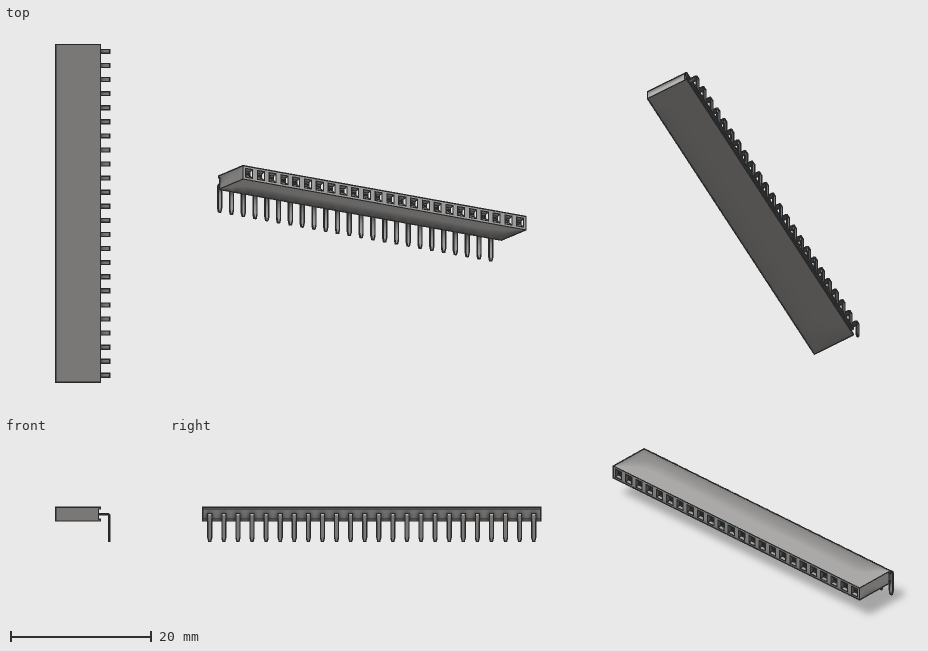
import cadquery as cq


pitch = 2.0
contact_count = 24
housing_length = pitch * contact_count
housing_depth = 6.4
housing_height = 2.0

groove_depth = 0.3
lip_thickness = 0.3

mouth_width = 1.2
mouth_height = 1.3
floor_width = 0.7
floor_height = 0.65
funnel_depth = 0.3
slot_width = 0.45
slot_height = 0.2
slot_depth = 3.0

overall_depth = 7.72
overall_height = 4.9
terminal_width = 0.6
terminal_thickness = 0.2
bend_radius = 0.35
tip_length = 0.6
tip_width = 0.3
terminal_root = 1.0

mid_height = housing_height / 2
tip_z = housing_height - overall_height
contact_positions = [(i - (contact_count - 1) / 2) * pitch for i in range(contact_count)]


def make_housing():
    """Plain block with the rear groove running its full length."""
    block = cq.Workplane("XY").box(
        housing_depth, housing_length, housing_height, centered=(False, True, False)
    )
    groove = cq.Workplane("XY").box(
        groove_depth, housing_length, housing_height - 2 * lip_thickness, centered=(False, True, False)
    )
    return block.cut(groove.translate((housing_depth - groove_depth, 0, lip_thickness)))


def make_opening():
    """Cutting body of one mating opening, centred on Y = 0."""
    funnel = (
        cq.Workplane("YZ", origin=(0, 0, mid_height))
        .rect(mouth_width, mouth_height)
        .workplane(offset=funnel_depth)
        .rect(floor_width, floor_height)
        .loft(ruled=True)
    )
    slot = cq.Workplane("YZ", origin=(funnel_depth, 0, mid_height)).rect(slot_width, slot_height)
    return funnel.union(slot.extrude(slot_depth - funnel_depth))


def make_terminal():
    """One bent terminal with a tapered tip, centred on Y = 0."""
    root_x = housing_depth - groove_depth - terminal_root
    leg_inner_x = overall_depth - terminal_thickness
    top_z = mid_height + terminal_thickness / 2
    underside_z = mid_height - terminal_thickness / 2
    inner_radius = bend_radius - terminal_thickness
    strip = (
        cq.Workplane("XZ")
        .moveTo(root_x, underside_z)
        .lineTo(root_x, top_z)
        .lineTo(overall_depth - bend_radius, top_z)
        .radiusArc((overall_depth, top_z - bend_radius), bend_radius)
        .lineTo(overall_depth, tip_z)
        .lineTo(leg_inner_x, tip_z)
        .lineTo(leg_inner_x, top_z - bend_radius)
        .radiusArc((overall_depth - bend_radius, underside_z), -inner_radius)
        .close()
        .extrude(terminal_width / 2, both=True)
    )
    front_outline = (
        cq.Workplane("YZ", origin=(root_x, 0, 0))
        .moveTo(-tip_width / 2, tip_z)
        .lineTo(tip_width / 2, tip_z)
        .lineTo(terminal_width / 2, tip_z + tip_length)
        .lineTo(terminal_width / 2, top_z)
        .lineTo(-terminal_width / 2, top_z)
        .lineTo(-terminal_width / 2, tip_z + tip_length)
        .close()
        .extrude(overall_depth - root_x)
    )
    return strip.intersect(front_outline)


def repeat_along_row(shape):
    """One copy of the shape at every contact position."""
    return [shape.val().translate(cq.Vector(0, y, 0)) for y in contact_positions]


openings = cq.Workplane("XY").newObject([cq.Compound.makeCompound(repeat_along_row(make_opening()))])
terminals = repeat_along_row(make_terminal())

body = make_housing().cut(openings)
result = cq.Workplane("XY").newObject([body.val().fuse(*terminals)])